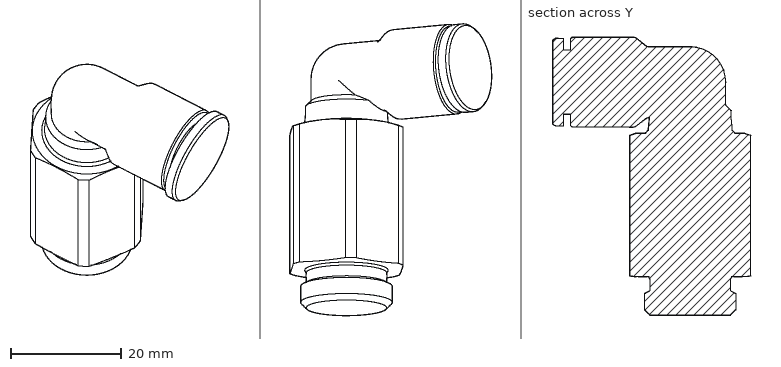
import cadquery as cq
import math

TOTAL_HEIGHT = 50.45
SOCKET_RADIUS = 8.15
ELBOW_RADIUS = 6.45
AXIS_HEIGHT = TOTAL_HEIGHT - SOCKET_RADIUS

THREAD_RADIUS = 8.3
NECK_RADIUS = 7.3
THREAD_TOP = 4.0
THREAD_CHAMFER = 1.0
THREAD_RUNOUT = 0.5
NECK_FLARE_LENGTH = 0.5
NECK_FLARE_DEPTH = 0.25

HEX_ACROSS_FLATS = 20.0
HEX_CORNER_RADIUS = 11.0
HEX_BOTTOM = 6.95
HEX_TOP = 33.05
HEX_FACE_RADIUS = 9.9
HEX_TOP_CHAMFER = 0.4
HEX_BOTTOM_CHAMFER = 0.15

COLLAR_RADIUS = 7.45
COLLAR_BASE_RADIUS = 7.65
COLLAR_FLARE = 0.5
TAPER_TOP = 35.6
COLLAR_TOP = 37.15
COLLAR_CHAMFER = 1.0

SOCKET_CONE_START = 7.85
SOCKET_CONE_END = 10.0
SOCKET_CONE_BLEND = 1.0
SOCKET_END = 21.75
SOCKET_END_CHAMFER = 0.3

RING_NECK_RADIUS = 5.85
FLANGE_START = 22.95
FLANGE_END = 24.95
FLANGE_WIDTH = 18.5
FLANGE_HEIGHT = 15.95
FLANGE_CHAMFER_LENGTH = 0.5
FLANGE_CHAMFER_DEPTH = 0.35


def turned(profile):
    """Revolve a closed (radius, height) profile about the Z axis."""
    return cq.Workplane("XZ").polyline(profile).close().revolve(360, (0, 0, 0), (0, 1, 0))


def socket_disc(radius, start, end):
    """Cylinder on the socket axis between two X positions."""
    plane = cq.Workplane("YZ", origin=(start, 0, AXIS_HEIGHT))
    return plane.circle(radius).extrude(end - start)


def threaded_end():
    return turned([
        (0, 0),
        (THREAD_RADIUS - THREAD_CHAMFER, 0),
        (THREAD_RADIUS, THREAD_CHAMFER),
        (THREAD_RADIUS, THREAD_TOP),
        (NECK_RADIUS, THREAD_TOP + THREAD_RUNOUT),
        (NECK_RADIUS, HEX_BOTTOM - NECK_FLARE_LENGTH),
        (NECK_RADIUS + NECK_FLARE_DEPTH, HEX_BOTTOM),
        (0, HEX_BOTTOM),
    ])


def hexagon_body():
    across_corners = HEX_ACROSS_FLATS / math.cos(math.pi / 6)
    prism = (
        cq.Workplane("XY", origin=(0, 0, HEX_BOTTOM))
        .polygon(6, across_corners)
        .extrude(HEX_TOP - HEX_BOTTOM)
    )
    envelope = turned([
        (0, HEX_BOTTOM),
        (HEX_FACE_RADIUS, HEX_BOTTOM),
        (HEX_CORNER_RADIUS, HEX_BOTTOM + HEX_BOTTOM_CHAMFER),
        (HEX_CORNER_RADIUS, HEX_TOP - HEX_TOP_CHAMFER),
        (HEX_FACE_RADIUS, HEX_TOP),
        (0, HEX_TOP),
    ])
    return prism.intersect(envelope)


def collar():
    return turned([
        (0, HEX_TOP),
        (COLLAR_BASE_RADIUS + COLLAR_FLARE, HEX_TOP),
        (COLLAR_BASE_RADIUS, HEX_TOP + COLLAR_FLARE),
        (COLLAR_RADIUS, TAPER_TOP),
        (COLLAR_RADIUS, COLLAR_TOP),
        (COLLAR_RADIUS - COLLAR_CHAMFER, COLLAR_TOP + COLLAR_CHAMFER),
        (0, COLLAR_TOP + COLLAR_CHAMFER),
    ])


def elbow():
    """Upright leg closed by a ball; the socket supplies the level leg."""
    base = cq.Workplane("XY", origin=(0, 0, HEX_TOP))
    upright = base.circle(ELBOW_RADIUS).extrude(AXIS_HEIGHT - HEX_TOP)
    ball = cq.Workplane("XY", origin=(0, 0, AXIS_HEIGHT)).sphere(ELBOW_RADIUS)
    return upright.union(ball)


def tube_socket():
    """Level elbow leg flaring into the socket, turned about the socket axis."""
    profile = [
        (0, 0),
        (0, ELBOW_RADIUS),
        (SOCKET_CONE_START, ELBOW_RADIUS),
        (SOCKET_CONE_END, SOCKET_RADIUS),
        (SOCKET_END - SOCKET_END_CHAMFER, SOCKET_RADIUS),
        (SOCKET_END, SOCKET_RADIUS - SOCKET_END_CHAMFER),
        (SOCKET_END, 0),
    ]
    body = (
        cq.Workplane("XZ", origin=(0, 0, AXIS_HEIGHT))
        .polyline(profile)
        .close()
        .revolve(360, (0, 0, 0), (1, 0, 0))
    )
    past_cone = SOCKET_CONE_END + SOCKET_CONE_BLEND
    before_cone = SOCKET_CONE_START - SOCKET_CONE_BLEND
    cone_rims = cq.selectors.BoxSelector(
        (before_cone, -TOTAL_HEIGHT, 0),
        (past_cone, TOTAL_HEIGHT, 2 * TOTAL_HEIGHT),
    )
    return body.edges("%CIRCLE").edges(cone_rims).fillet(SOCKET_CONE_BLEND)


def release_ring():
    neck = socket_disc(RING_NECK_RADIUS, SOCKET_END, FLANGE_START)
    flange = (
        cq.Workplane("YZ", origin=(FLANGE_START, 0, AXIS_HEIGHT))
        .ellipse(FLANGE_WIDTH / 2, FLANGE_HEIGHT / 2)
        .extrude(FLANGE_END - FLANGE_START)
        .faces(">X")
        .chamfer(FLANGE_CHAMFER_LENGTH, FLANGE_CHAMFER_DEPTH)
    )
    return neck.union(flange)


result = (
    threaded_end()
    .union(hexagon_body())
    .union(collar())
    .union(elbow())
    .union(tube_socket())
    .union(release_ring())
)